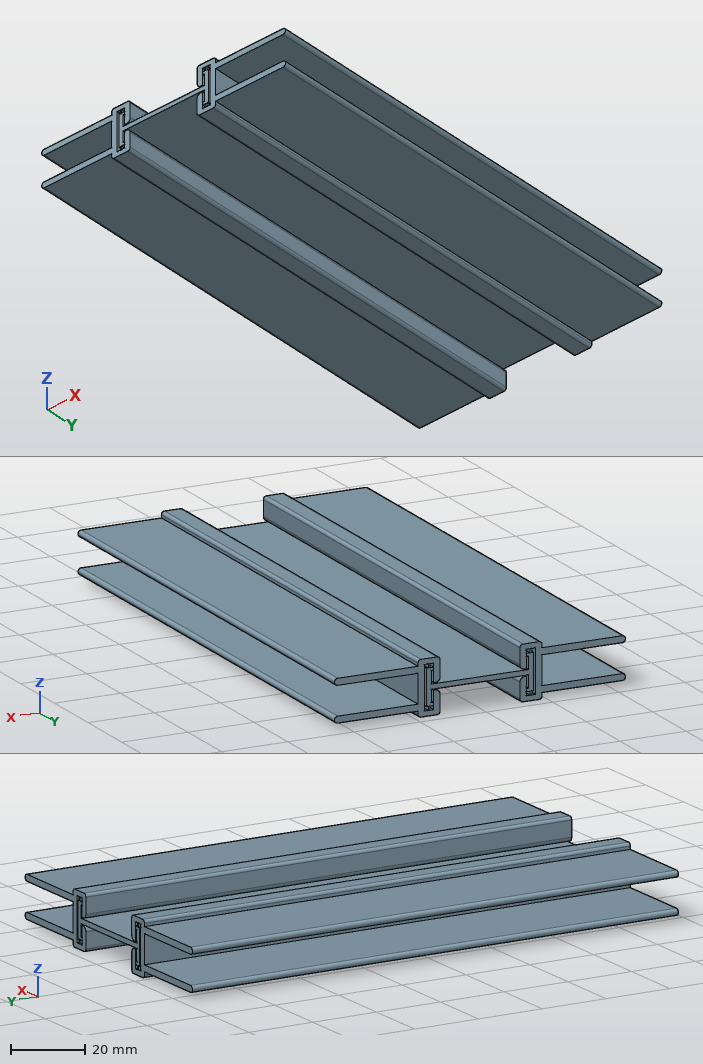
import cadquery as cq

LENGTH = 152.4
WIDTH = 88.0
HEIGHT = 16.3

CHANNEL_OUTER_X = 18.7
WALL = 2.0
CAVITY_WIDTH = 2.7
CAVITY_HEIGHT = 13.1
MOUTH_HEIGHT = 2.1
FLANGE_THICKNESS = 2.0
FLANGE_GAP = 8.7
CORNER_RADIUS = 0.9
LIP_RADIUS = 1.4

WEB_THICKNESS = 1.5
CROSSBAR_THICKNESS = 1.5
CROSSBAR_HEIGHT = 10.8
LUG_HEIGHT = 0.9
RIDGE_WIDTH = 0.5

CHANNEL_WIDTH = CAVITY_WIDTH + 2 * WALL
CHANNEL_INNER_X = CHANNEL_OUTER_X - CHANNEL_WIDTH
CAVITY_INNER_X = CHANNEL_INNER_X + WALL
CROSSBAR_INNER_X = CAVITY_INNER_X + (CAVITY_WIDTH - CROSSBAR_THICKNESS) / 2
CROSSBAR_OUTER_X = CROSSBAR_INNER_X + CROSSBAR_THICKNESS


def bar(x_start, x_end, z_start, z_end):
    """Rectangular bar over the full length, centred on Y = 0."""
    size_x = x_end - x_start
    size_z = z_end - z_start
    center = ((x_start + x_end) / 2, 0, (z_start + z_end) / 2)
    return cq.Workplane("XY").box(size_x, LENGTH, size_z).translate(center)


def flange():
    """Upper flange with a fully rounded free edge."""
    bottom = FLANGE_GAP / 2
    top = bottom + FLANGE_THICKNESS
    tip_x = WIDTH / 2
    tip_z = (bottom + top) / 2
    straight_x = tip_x - FLANGE_THICKNESS / 2
    root_x = CHANNEL_OUTER_X - WALL / 2
    return (
        cq.Workplane("XZ", origin=(0, LENGTH / 2, 0))
        .moveTo(root_x, bottom)
        .lineTo(straight_x, bottom)
        .threePointArc((tip_x, tip_z), (straight_x, top))
        .lineTo(root_x, top)
        .close()
        .extrude(LENGTH)
    )


def edge_channel():
    """Channel on the +X side, with its two flanges."""
    box = bar(CHANNEL_INNER_X, CHANNEL_OUTER_X, -HEIGHT / 2, HEIGHT / 2)
    box = box.edges("|Y").fillet(CORNER_RADIUS)
    cavity = bar(CAVITY_INNER_X, CAVITY_INNER_X + CAVITY_WIDTH, -CAVITY_HEIGHT / 2, CAVITY_HEIGHT / 2)
    mouth = bar(CHANNEL_INNER_X, CAVITY_INNER_X, -MOUTH_HEIGHT / 2, MOUTH_HEIGHT / 2)
    channel = box.cut(cavity).cut(mouth)
    mouth_rims = cq.selectors.BoxSelector(
        (CHANNEL_INNER_X - WALL / 2, -LENGTH, -MOUTH_HEIGHT),
        (CHANNEL_INNER_X + WALL / 2, LENGTH, MOUTH_HEIGHT),
    )
    channel = channel.edges("|Y and <X").edges(mouth_rims).fillet(LIP_RADIUS)
    upper = flange()
    return channel.union(upper).union(upper.mirror("XY"))


def connecting_strip():
    """Web with a lugged and ridged crossbar at each side."""
    web = bar(-CROSSBAR_OUTER_X, CROSSBAR_OUTER_X, -WEB_THICKNESS / 2, WEB_THICKNESS / 2)
    top = CROSSBAR_HEIGHT / 2
    crossbar = bar(CROSSBAR_INNER_X, CROSSBAR_OUTER_X, -top, top)
    lug = bar(CAVITY_INNER_X, CROSSBAR_OUTER_X, top - LUG_HEIGHT, top)
    ridge_x = CAVITY_INNER_X + CAVITY_WIDTH / 2
    ridge = bar(ridge_x - RIDGE_WIDTH / 2, ridge_x + RIDGE_WIDTH / 2, top - LUG_HEIGHT, CAVITY_HEIGHT / 2)
    rib = lug.union(ridge)
    end = crossbar.union(rib).union(rib.mirror("XY"))
    return web.union(end).union(end.mirror("YZ"))


right_channel = edge_channel()
left_channel = right_channel.mirror("YZ")
strip = connecting_strip()
result = cq.Compound.makeCompound([left_channel.val(), right_channel.val(), strip.val()])